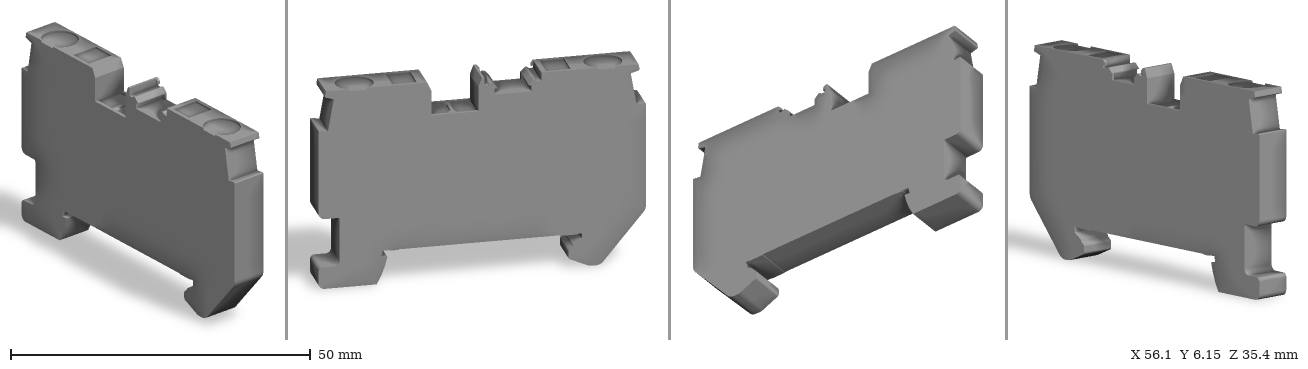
import cadquery as cq
LENGTH = 56.1
THICKNESS = 6.15
HEIGHT = 35.4
HALF_LENGTH = LENGTH / 2
HALF_THICKNESS = THICKNESS / 2

END_TOP_X = 26.8
END_LIP_X = 27.05
END_LIP_Z = 34.35
NECK_TOP = (25.45, 33.9)
NECK_FOOT = (26.5, 28.15)
SHOULDER_Z = 28.4
LIP_RADIUS = 0.2
SHOULDER_RADIUS = 0.15

SLOT_LEFT = -8.7
SLOT_RIGHT = -0.7
SLOT_FLOOR = 29.45
SLOT_BEVEL_Z = 33.85
SLOT_BEVEL_WIDTH = 0.75
POST_TIP_X = -0.05

GROOVE_CENTRE = 5.3
GROOVE_HALF_WIDTH = 4.9
LEDGE_Z = 33.95
NOSE_Z = 34.2
NOSE_TIP = 2.7
NOSE_TIP_TOP = 33.45
NOSE_TIP_BOTTOM = 33.25
NOSE_OUTER = 4.15
NOSE_LEDGE = NOSE_TIP + LEDGE_Z - NOSE_TIP_TOP
NOSE_CREST = NOSE_TIP + NOSE_Z - NOSE_TIP_TOP
UNDERCUT_HALF_WIDTH = 3.2
GROOVE_FLOOR = 32.2

WEB_THICKNESS = 0.5
TAB_REACH = 0.45
TAB_BOTTOM = 34.5
TAB_BEVEL = 0.45

RECESS_X = -24.45
RECESS_TOP = 12.5
RECESS_BOTTOM = 3.85
RECESS_TOP_RADIUS = 0.35
RECESS_BOTTOM_RADIUS = 1.0
FOOT_RADIUS = 1.0
FOOT_HEEL_RADIUS = 0.7
FOOT_TOE = (-18.05, 0.0)
FOOT_TOE_MID = (-16.95, 2.4)
FOOT_TIP = (-16.25, 4.75)
FOOT_NOTCH_X = -17.35
RAIL_LEFT = -17.05

RAIL_Z = 5.95
PAD_HEIGHT = 0.1
PAD_SPANS = [(-15.8, -14.35), (13.45, 16.2)]

RAIL_RIGHT = 17.1
HOOK_THROAT_Z = 5.0
HOOK_STEP_TOP = (15.6, 4.0)
HOOK_STEP_BOTTOM = (15.5, 3.7)
HOOK_TIP_X = 14.75
HOOK_TIP_TOP = 3.1
HOOK_TIP_BOTTOM = 1.6
HOOK_HEEL_LEFT = 18.35
HOOK_HEEL_RIGHT = 20.25
HOOK_BACK_Z = 9.3
HOOK_RADIUS = 1.7
HOOK_TIP_RADIUS = 0.45
HOOK_STEP_RADIUS = 0.15

TOP_RECESS_DEPTH = 0.35
ROUND_X = 21.3
ROUND_Y = -0.35
ROUND_RADIUS_X = 3.25
ROUND_RADIUS_Y = 3.1
SQUARE_X = 13.2
SQUARE_LENGTH = 4.2
SQUARE_WIDTH = 4.95

POCKET_WIDTH = 4.95
POCKET_DEPTH = 0.35
BAR_X = -4.75
BAR_WIDTH = 0.55
HUMP_WIDTH = 1.6
HUMP_LENGTH = 1.1


def mirrored(points, centre=0.0):
    """Mirror a point list about x = centre and reverse its order."""
    return [(2 * centre - x, z) for x, z in reversed(points)]


def prism(points, y_back, y_front):
    """Extrude a closed XZ outline between two Y planes."""
    face = cq.Workplane("XZ", origin=(0, y_back, 0)).polyline(points).close()
    return face.extrude(y_back - y_front)


def box(x_range, y_range, z_range):
    """Axis-aligned box from its limits."""
    (x0, x1), (y0, y1), (z0, z1) = x_range, y_range, z_range
    return cq.Workplane("XY").box(x1 - x0, y1 - y0, z1 - z0, centered=False).translate((x0, y0, z0))


def round_edges(body, points, radius):
    """Fillet the full-thickness edges that stand on the given XZ points."""
    for x, z in points:
        body = body.edges(cq.selectors.NearestToPointSelector((x, 0, z))).fillet(radius)
    return body


right_end = [
    (HALF_LENGTH, SHOULDER_Z),
    NECK_FOOT,
    NECK_TOP,
    (END_LIP_X, END_LIP_Z),
    (END_TOP_X, HEIGHT),
]
groove_right = [
    (GROOVE_CENTRE + GROOVE_HALF_WIDTH, HEIGHT),
    (GROOVE_CENTRE + GROOVE_HALF_WIDTH, LEDGE_Z),
    (GROOVE_CENTRE + NOSE_LEDGE, LEDGE_Z),
    (GROOVE_CENTRE + NOSE_TIP, NOSE_TIP_TOP),
    (GROOVE_CENTRE + NOSE_TIP, NOSE_TIP_BOTTOM),
    (GROOVE_CENTRE + UNDERCUT_HALF_WIDTH, NOSE_TIP_BOTTOM),
    (GROOVE_CENTRE + UNDERCUT_HALF_WIDTH, GROOVE_FLOOR),
]
slot = [
    (POST_TIP_X, HEIGHT),
    (SLOT_RIGHT, SLOT_BEVEL_Z),
    (SLOT_RIGHT, SLOT_FLOOR),
    (SLOT_LEFT, SLOT_FLOOR),
    (SLOT_LEFT, SLOT_BEVEL_Z),
    (SLOT_LEFT - SLOT_BEVEL_WIDTH, HEIGHT),
]
left_side = [
    (-HALF_LENGTH, RECESS_TOP),
    (RECESS_X, RECESS_TOP),
    (RECESS_X, RECESS_BOTTOM),
    (-HALF_LENGTH, RECESS_BOTTOM),
    (-HALF_LENGTH, 0),
]
rail_and_hook = [
    (FOOT_NOTCH_X, FOOT_TIP[1]),
    (RAIL_LEFT, RAIL_Z),
    (RAIL_RIGHT, RAIL_Z),
    (RAIL_RIGHT, HOOK_THROAT_Z),
    HOOK_STEP_TOP,
    HOOK_STEP_BOTTOM,
    (HOOK_TIP_X, HOOK_TIP_TOP),
    (HOOK_TIP_X, HOOK_TIP_BOTTOM),
    (HOOK_HEEL_LEFT, 0),
    (HOOK_HEEL_RIGHT, 0),
    (HALF_LENGTH, HOOK_BACK_Z),
]


def make_body():
    """Housing plate: one side outline through the full thickness."""
    upper = right_end + groove_right + mirrored(groove_right, GROOVE_CENTRE) + slot + mirrored(right_end)
    outline = cq.Workplane("XZ", origin=(0, HALF_THICKNESS, 0)).polyline(upper + left_side + [FOOT_TOE])
    outline = outline.threePointArc(FOOT_TOE_MID, FOOT_TIP)
    for point in rail_and_hook:
        outline = outline.lineTo(*point)
    body = outline.close().extrude(THICKNESS)

    lips = [(side * END_LIP_X, END_LIP_Z) for side in (-1, 1)]
    shoulders = [(side * HALF_LENGTH, SHOULDER_Z) for side in (-1, 1)]
    foot_corners = [left_side[0], left_side[-1]]
    hook_tip = [(HOOK_TIP_X, HOOK_TIP_TOP), (HOOK_TIP_X, HOOK_TIP_BOTTOM)]
    body = round_edges(body, lips, LIP_RADIUS)
    body = round_edges(body, shoulders, SHOULDER_RADIUS)
    body = round_edges(body, foot_corners, FOOT_RADIUS)
    body = round_edges(body, [(-HALF_LENGTH, RECESS_BOTTOM)], FOOT_HEEL_RADIUS)
    body = round_edges(body, [(RECESS_X, RECESS_TOP)], RECESS_TOP_RADIUS)
    body = round_edges(body, [(RECESS_X, RECESS_BOTTOM)], RECESS_BOTTOM_RADIUS)
    body = round_edges(body, [HOOK_STEP_TOP], HOOK_STEP_RADIUS)
    body = round_edges(body, hook_tip, HOOK_TIP_RADIUS)
    return round_edges(body, rail_and_hook[-3:], HOOK_RADIUS)


def make_pads():
    """Shallow pads on the rail seat."""
    y_range = (-HALF_THICKNESS, HALF_THICKNESS)
    pads = cq.Workplane("XY")
    for x_range in PAD_SPANS:
        pads = pads.union(box(x_range, y_range, (RAIL_Z - PAD_HEIGHT, RAIL_Z)))
    return pads


def make_nose_domes():
    """Rounded ridges that top the groove noses, one on each side of the groove."""
    domes = cq.Workplane("XY")
    for side in (-1, 1):
        outline = (
            cq.Workplane("XZ", origin=(GROOVE_CENTRE, HALF_THICKNESS, 0))
            .moveTo(side * NOSE_LEDGE, LEDGE_Z)
            .lineTo(side * NOSE_CREST, NOSE_Z)
            .threePointArc((side * (NOSE_CREST + NOSE_OUTER) / 2, NOSE_Z), (side * NOSE_OUTER, LEDGE_Z))
            .close()
        )
        domes = domes.union(outline.extrude(THICKNESS))
    return domes


def make_webs():
    """Fillings of the undercuts and bevelled tabs at the groove mouth, along the +Y face."""
    filling = [
        (GROOVE_CENTRE + NOSE_TIP, GROOVE_FLOOR),
        (GROOVE_CENTRE + UNDERCUT_HALF_WIDTH, GROOVE_FLOOR),
        (GROOVE_CENTRE + UNDERCUT_HALF_WIDTH, NOSE_TIP_BOTTOM),
        (GROOVE_CENTRE + NOSE_TIP, NOSE_TIP_BOTTOM),
    ]
    mouth = GROOVE_CENTRE + GROOVE_HALF_WIDTH
    tab = [
        (mouth, HEIGHT),
        (mouth, TAB_BOTTOM),
        (mouth - TAB_REACH, TAB_BOTTOM),
        (mouth - TAB_REACH, HEIGHT - TAB_BEVEL),
    ]
    webs = cq.Workplane("XY")
    for shape in (filling, tab):
        for points in (shape, mirrored(shape, GROOVE_CENTRE)):
            webs = webs.union(prism(points, HALF_THICKNESS, HALF_THICKNESS - WEB_THICKNESS))
    return webs


def make_top_recesses():
    """Shallow round and rectangular recesses in both top faces."""
    floor = cq.Workplane("XY", origin=(0, 0, HEIGHT - TOP_RECESS_DEPTH))
    rounds = floor.pushPoints([(-ROUND_X, ROUND_Y), (ROUND_X, ROUND_Y)])
    rounds = rounds.ellipse(ROUND_RADIUS_X, ROUND_RADIUS_Y).extrude(TOP_RECESS_DEPTH)
    squares = floor.pushPoints([(-SQUARE_X, 0), (SQUARE_X, 0)])
    squares = squares.rect(SQUARE_LENGTH, SQUARE_WIDTH).extrude(TOP_RECESS_DEPTH)
    return rounds.union(squares)


def make_slot_pocket():
    """Pocket volume in the slot floor, less the bar and its two humps."""
    half_width = POCKET_WIDTH / 2
    z_range = (SLOT_FLOOR - POCKET_DEPTH, SLOT_FLOOR)
    pocket = box((SLOT_LEFT, SLOT_RIGHT), (-half_width, half_width), z_range)
    bar_x = (BAR_X - BAR_WIDTH / 2, BAR_X + BAR_WIDTH / 2)
    bar_end = half_width - HUMP_LENGTH
    pocket = pocket.cut(box(bar_x, (-bar_end, bar_end), z_range))
    hump = (
        cq.Workplane("XZ", origin=(0, half_width, 0))
        .moveTo(BAR_X - HUMP_WIDTH / 2, z_range[0])
        .threePointArc((BAR_X, z_range[1]), (BAR_X + HUMP_WIDTH / 2, z_range[0]))
        .close()
        .extrude(HUMP_LENGTH)
    )
    return pocket.cut(hump).cut(hump.mirror("XZ"))


result = make_body()
for addition in (make_pads(), make_nose_domes(), make_webs()):
    result = result.union(addition)
for recess in (make_top_recesses(), make_slot_pocket()):
    result = result.cut(recess)